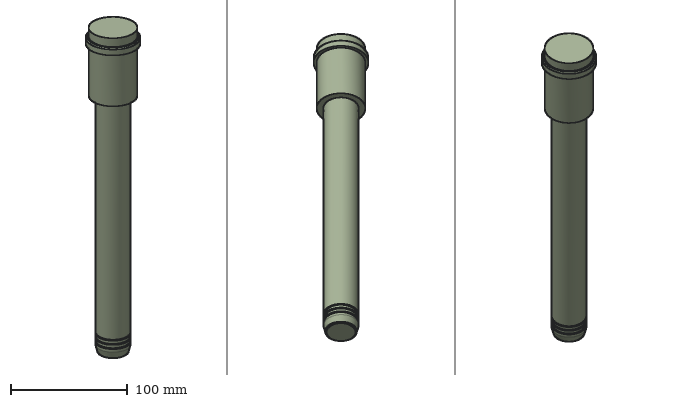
import cadquery as cq

total_length = 310.0
collar_diameter = 47.0
head_diameter = 42.0
shaft_diameter = 30.5
tip_diameter = 26.7

head_length = 65.0
collar_top_offset = 8.5
collar_height = 6.8
collar_chamfer = 1.2
tip_length = 7.5
tip_edge_chamfer = 1.0

groove_count = 3
groove_width = 1.0
groove_depth = 0.3
first_groove_height = 10.5
groove_spacing = 4.0


def cylinder(diameter, bottom, height):
    """Solid cylinder on the Z axis."""
    return cq.Workplane("XY").workplane(offset=bottom).circle(diameter / 2).extrude(height)


def make_shaft():
    """Shaft with a tapered lower tip."""
    shaft_top = total_length - head_length
    shaft = cylinder(shaft_diameter, 0, shaft_top)
    taper_inset = (shaft_diameter - tip_diameter) / 2
    shaft = shaft.faces("<Z").chamfer(tip_length, taper_inset)
    return shaft.faces("<Z").edges().chamfer(tip_edge_chamfer)


def make_head():
    """Cylindrical head with a chamfered collar near its top."""
    head = cylinder(head_diameter, total_length - head_length, head_length)
    collar_bottom = total_length - collar_top_offset - collar_height
    collar = cylinder(collar_diameter, collar_bottom, collar_height)
    collar = collar.faces(">Z").chamfer(collar_chamfer)
    return head.union(collar)


def make_groove(middle_height):
    """Ring that cuts one shallow groove around the shaft."""
    bottom = middle_height - groove_width / 2
    outer = cylinder(shaft_diameter + groove_depth, bottom, groove_width)
    core = cylinder(shaft_diameter - 2 * groove_depth, bottom, groove_width)
    return outer.cut(core)


result = make_shaft().union(make_head())
for groove_index in range(groove_count):
    result = result.cut(make_groove(first_groove_height + groove_index * groove_spacing))